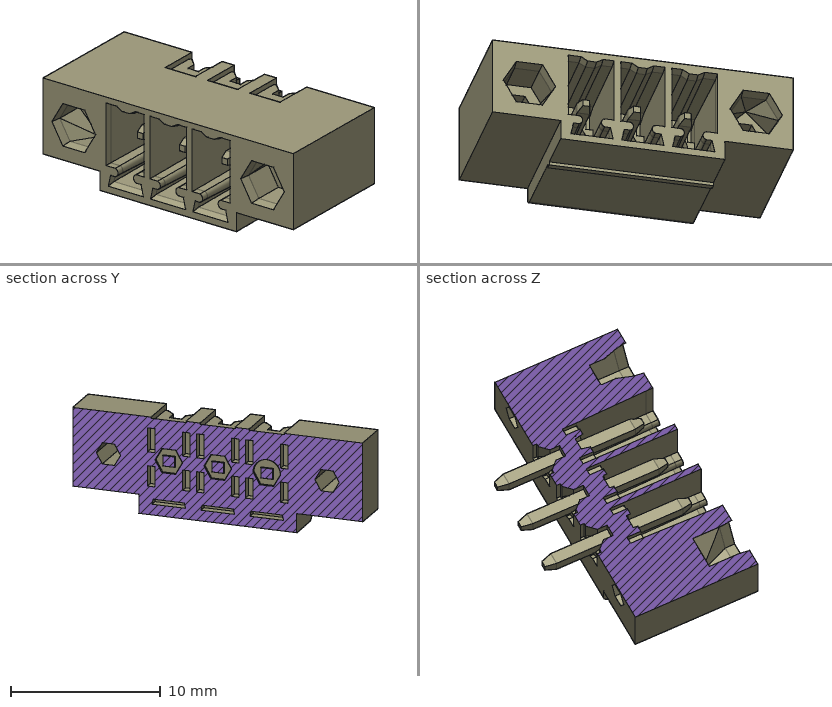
import cadquery as cq
import math


length = 20.7
depth = 9.21
height = 7.2
wing_bottom = 1.61
key_width = 11.3
key_bottom_front = 0.2
key_bottom_rear = 0.3
key_corner_radius = 0.54
rib_front = 3.19
rib_thickness = 0.4

pitch = 3.5
pin_columns = (-pitch, 0.0, pitch)
pin_z = 4.2
pin_width = 0.87
pin_height = 0.77
pin_tip_size = 0.45
pin_taper = 0.77
pin_front = 1.61
pin_rear = 12.6

pocket_half_width = 1.51
end_pocket_extra = 0.12
pocket_depth = 5.8
pocket_top = 6.77
pocket_shelf = 2.17
lead_length = 0.54
roof_lead_drop = 0.17
roof_draft = 0.08
shelf_draft = 0.06
deep_top = pocket_top - roof_lead_drop - roof_draft
deep_shelf = pocket_shelf + shelf_draft
neck_draft = 0.06
wave_half_width = 0.77
wave_flat_half_width = 0.31
wave_depth = 0.27
neck_half_width = 0.87
neck_bulge = 0.23
slot_top = 1.55
slot_floor = 0.7
slot_top_half_width = 1.26
slot_floor_half_width = 1.45
slot_inset = 0.17
slot_lead_rise = 0.17
slot_floor_draft = 0.19

relief_depth = 1.04
relief_inner_half_width = 1.01
relief_roof_drop = 0.3
relief_upper_bottom = 4.72
relief_lower_top = 3.7
relief_lower_bottom = 2.3

pin_bore_radius = 1.01
pin_bore_depth = 0.62
pin_bore_draft = 0.06

notch_width = 2.48
notch_depth = 3.06
notch_floor = 6.83
notch_slope_length = 0.7
ledge_depth = 0.3
ledge_z = 3.45
trough_half_width = 0.58
trough_floor_half_width = 0.2
trough_depth = 0.2
pin_slot_depth = 1.6
funnel_half_width = 1.01

nut_x = 7.8
nut_mouth_radius = 1.8
nut_inner_radius = 1.7
nut_mouth_depth = 0.75
nut_depth = 2.95
screw_radius = 0.85


def box(x0, x1, y0, y1, z0, z1):
    corner = cq.Vector(x0, y0, z0)
    return cq.Workplane(obj=cq.Solid.makeBox(x1 - x0, y1 - y0, z1 - z0, corner))


def prism_y(points, y0, y1):
    """Straight prism along Y from an outline of (x, z) points."""
    face = cq.Workplane("XZ", origin=(0, y0, 0)).polyline(points).close()
    return face.extrude(y0 - y1)


def prism_x(points, width):
    """Prism centred on X = 0 from an outline of (y, z) points."""
    return cq.Workplane("YZ").polyline(points).close().extrude(width / 2, both=True)


def polygon_wire(points, y):
    return cq.Wire.makePolygon([cq.Vector(x, y, z) for x, z in points], close=True)


def loft_y(front, rear, y0, y1):
    """Straight-sided loft along Y between two outlines of (x, z) points."""
    wires = [polygon_wire(front, y0), polygon_wire(rear, y1)]
    return cq.Workplane(obj=cq.Solid.makeLoft(wires, True))


def rectangle(width, tall, z):
    return [
        (-width / 2, z - tall / 2),
        (width / 2, z - tall / 2),
        (width / 2, z + tall / 2),
        (-width / 2, z + tall / 2),
    ]


def hexagon(radius, z):
    angles = [math.radians(60 * i) for i in range(6)]
    return [(radius * math.cos(a), z + radius * math.sin(a)) for a in angles]


def make_housing():
    wings = box(-length / 2, length / 2, 0, depth, wing_bottom, height)
    key_outline = [
        (0, key_bottom_front),
        (depth, key_bottom_rear),
        (depth, pin_z),
        (0, pin_z),
    ]
    key = prism_x(key_outline, key_width)
    key = key.faces(">Y").edges("<Z").fillet(key_corner_radius)
    rib = box(
        -key_width / 2, key_width / 2, rib_front, rib_front + rib_thickness, 0, wing_bottom
    )
    return wings.union(key).union(rib)


def pocket_wire(y, left, right, top, shelf, neck_inset, slot):
    """Closed pocket outline; `slot` holds top z, floor z and the two half widths."""
    slot_z, floor_z, slot_half, floor_half = slot
    neck = neck_half_width - neck_inset
    neck_z = (shelf + slot_z) / 2
    waist = neck - neck_bulge

    def point(x, z):
        return cq.Vector(x, y, z)

    wave = [point(-wave_half_width, top), point(-wave_flat_half_width, top - wave_depth)]
    wave += [point(wave_flat_half_width, top - wave_depth), point(wave_half_width, top)]
    right_neck = [point(neck, shelf), point(waist, neck_z), point(neck, slot_z)]
    left_neck = [point(-neck, slot_z), point(-waist, neck_z), point(-neck, shelf)]
    above = [left_neck[-1], point(left, shelf), point(left, top), *wave]
    above += [point(right, top), point(right, shelf), right_neck[0]]
    below = [right_neck[-1], point(slot_half, slot_z), point(floor_half, floor_z)]
    below += [point(-floor_half, floor_z), point(-slot_half, slot_z), left_neck[0]]
    edges = [cq.Edge.makeLine(a, b) for a, b in zip(above, above[1:])]
    edges.append(cq.Edge.makeThreePointArc(*right_neck))
    edges += [cq.Edge.makeLine(a, b) for a, b in zip(below, below[1:])]
    edges.append(cq.Edge.makeThreePointArc(*left_neck))
    return cq.Wire.assembleEdges(edges)


def deep_slot():
    """Top z, floor z and the two half widths of the slot at the pocket floor."""
    return (
        slot_top - slot_inset,
        slot_floor + slot_lead_rise + slot_floor_draft,
        slot_top_half_width - slot_inset,
        slot_floor_half_width - slot_inset - slot_floor_draft / 2,
    )


def make_slot_end():
    """Straight end of the slot, as deep as the relief recesses."""
    top_z, floor_z, top_half, floor_half = deep_slot()
    outline = [(-top_half, top_z), (top_half, top_z), (floor_half, floor_z), (-floor_half, floor_z)]
    return prism_y(outline, pocket_depth, pocket_depth + relief_depth)


def make_pocket_cavity(side):
    """Pocket outline carried from a flared mouth to the pocket floor."""
    left = -pocket_half_width
    right = pocket_half_width
    mouth_left = left - (end_pocket_extra if side < 0 else 0)
    mouth_right = right + (end_pocket_extra if side > 0 else 0)
    lead_top = pocket_top - roof_lead_drop
    lead_slot = (
        slot_top,
        slot_floor + slot_lead_rise,
        slot_top_half_width,
        slot_floor_half_width - slot_inset / 2,
    )
    mouth_slot = (slot_top, slot_floor, slot_top_half_width, slot_floor_half_width)
    mouth = pocket_wire(0, mouth_left, mouth_right, pocket_top, pocket_shelf, 0, mouth_slot)
    lead = pocket_wire(lead_length, mouth_left, mouth_right, lead_top, pocket_shelf, 0, lead_slot)
    floor = pocket_wire(pocket_depth, left, right, deep_top, deep_shelf, neck_draft, deep_slot())
    flare = cq.Workplane(obj=cq.Solid.makeLoft([mouth, lead], True))
    return flare.union(cq.Workplane(obj=cq.Solid.makeLoft([lead, floor], True)))


def make_relief(direction):
    """Pair of deeper recesses in the pocket floor, on the left (-1) or right (1) of the pin."""
    x0, x1 = sorted((direction * relief_inner_half_width, direction * pocket_half_width))
    rear = pocket_depth + relief_depth
    lower = box(x0, x1, pocket_depth, rear, relief_lower_bottom, relief_lower_top)
    roof_z = deep_top - relief_roof_drop
    roof_profile = [
        (pocket_depth, relief_upper_bottom),
        (rear, relief_upper_bottom),
        (rear, roof_z),
        (pocket_depth, deep_top),
    ]
    upper = prism_x(roof_profile, x1 - x0).translate(((x0 + x1) / 2, 0, 0))
    return lower.union(upper)


def bore_wire(radius, y, rounded):
    """Hexagon around the pin, its upper half replaced by an arc if `rounded`."""
    points = [cq.Vector(x, y, z) for x, z in hexagon(radius, pin_z)]
    if not rounded:
        return cq.Wire.makePolygon(points, close=True)
    lower = [*points[3:], points[0]]
    edges = [cq.Edge.makeLine(a, b) for a, b in zip(lower, lower[1:])]
    crown = cq.Vector(0, y, pin_z + radius)
    edges.append(cq.Edge.makeThreePointArc(points[0], crown, points[3]))
    return cq.Wire.assembleEdges(edges)


def make_pocket(side):
    """Mating pocket at X = 0; side is -1, 0 or 1 for the left, middle or right one."""
    pocket = make_pocket_cavity(side).union(make_slot_end())
    for direction in (-1, 1):
        pocket = pocket.union(make_relief(direction))
    rounded = side > 0
    bore_wires = [
        bore_wire(pin_bore_radius, pocket_depth, rounded),
        bore_wire(pin_bore_radius - pin_bore_draft, pocket_depth + pin_bore_depth, rounded),
    ]
    return pocket.union(cq.Workplane(obj=cq.Solid.makeLoft(bore_wires, True)))


def make_notch():
    """Solder-side notch with its ledge, pin slot and funnel, at X = 0."""
    notch_front = depth - notch_depth
    ledge_front = depth - ledge_depth
    profile = [
        (notch_front, height),
        (notch_front + notch_slope_length, notch_floor),
        (depth, notch_floor),
        (depth, height),
    ]
    notch = prism_x(profile, notch_width)
    half = notch_width / 2
    notch = notch.union(box(-half, half, ledge_front, depth, ledge_z, height))
    pin_bottom = pin_z - pin_height / 2
    slot_front = depth - pin_slot_depth
    notch = notch.union(box(-pin_width / 2, pin_width / 2, slot_front, depth, pin_z, height))
    funnel_front = ledge_front - funnel_half_width
    plan = [
        (-funnel_half_width, ledge_front),
        (0, funnel_front),
        (funnel_half_width, ledge_front),
    ]
    funnel = cq.Workplane("XY", origin=(0, 0, ledge_z)).polyline(plan).close().extrude(height - ledge_z)
    slope = prism_x(
        [
            (funnel_front, notch_floor),
            (funnel_front, pin_z + pin_height / 2),
            (ledge_front, pin_bottom),
            (ledge_front, notch_floor),
        ],
        notch_width,
    )
    notch = notch.union(funnel.intersect(slope))
    trough = [
        (-trough_half_width, ledge_z),
        (trough_half_width, ledge_z),
        (trough_floor_half_width, ledge_z - trough_depth),
        (-trough_floor_half_width, ledge_z - trough_depth),
    ]
    return notch.union(prism_y(trough, ledge_front, depth))


def make_pin():
    """Straight rectangular pin at X = 0, tapered at both ends."""
    body = rectangle(pin_width, pin_height, pin_z)
    tip = rectangle(pin_tip_size, pin_tip_size, pin_z)
    body_front = pin_front + pin_taper
    body_rear = pin_rear - pin_taper
    pin = prism_y(body, body_front, body_rear)
    pin = pin.union(loft_y(tip, body, pin_front, body_front))
    return pin.union(loft_y(body, tip, body_rear, pin_rear))


def make_nut_chamber():
    """Chamber that runs from a hexagon to a pentagon with one vertex at the bottom, at X = 0."""
    front = [cq.Vector(x, nut_mouth_depth, z) for x, z in hexagon(nut_inner_radius, pin_z)]
    rear = [cq.Vector(x, nut_depth, z) for x, z in hexagon(nut_inner_radius, pin_z)[:4]]
    rear.append(cq.Vector(0, nut_depth, pin_z - nut_inner_radius))
    loops = [front, rear]
    loops += [[front[i], front[i + 1], rear[i + 1], rear[i]] for i in range(3)]
    loops += [
        [front[3], front[4], rear[4]],
        [front[3], rear[4], rear[3]],
        [front[4], front[5], rear[4]],
        [front[5], front[0], rear[4]],
        [front[0], rear[0], rear[4]],
    ]
    faces = [cq.Face.makeFromWires(cq.Wire.makePolygon(loop, close=True)) for loop in loops]
    return cq.Workplane(obj=cq.Solid.makeSolid(cq.Shell.makeShell(faces)))


def make_nut_recess(upside_down):
    mouth = loft_y(
        hexagon(nut_mouth_radius, pin_z), hexagon(nut_inner_radius, pin_z), 0, nut_mouth_depth
    )
    chamber = make_nut_chamber()
    if upside_down:
        chamber = chamber.mirror("XY", (0, 0, pin_z))
    screw_hole = prism_y(hexagon(screw_radius, pin_z), 0, depth)
    return mouth.union(chamber).union(screw_hole)


result = make_housing()
for side, x in zip((-1, 0, 1), pin_columns):
    result = result.cut(make_pocket(side).translate((x, 0, 0)))
    result = result.cut(make_notch().translate((x, 0, 0)))
    result = result.union(make_pin().translate((x, 0, 0)))
for side in (-1, 1):
    result = result.cut(make_nut_recess(side > 0).translate((side * nut_x, 0, 0)))